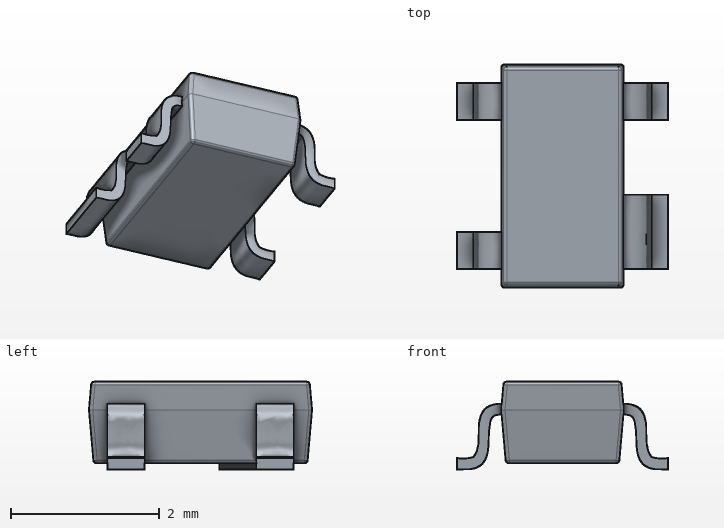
import cadquery as cq
import math

body_width = 1.65
body_length = 3.0
body_bottom = 0.08
parting_height = 0.80
body_top = 1.18
draft_angle = 5.0
edge_round = 0.05

lead_span = 2.84
lead_thickness = 0.15
lead_top = 0.882
inner_bend_radius = 0.10
leg_tilt = math.radians(5.0)
upper_bend_x = 0.868
lead_root_x = 0.78
crease_angle = math.radians(35.0)
foot_dish_depth = 0.003
toe_swell = 0.004
lead_outer_y = 1.25
narrow_width = 0.5
wide_width = 1.0


def tapered_half(height):
    """Half of the body, tapering from the parting plane over a signed height."""
    return (
        cq.Workplane("XY")
        .workplane(offset=parting_height)
        .rect(body_width, body_length)
        .extrude(height, taper=draft_angle)
    )


def make_body():
    """Drafted body with rounded corners and rims; the parting line stays sharp."""
    upper = tapered_half(body_top - parting_height)
    lower = tapered_half(body_bottom - parting_height)
    corners_and_rims = "not(#Z and (not (>Z or <Z)))"
    return upper.union(lower).edges(corners_and_rims).fillet(edge_round)


def bend_point(axis, radius, angle):
    """Point (x, z) at a radius and angle around a bend axis."""
    return (axis[0] + radius * math.cos(angle), axis[1] + radius * math.sin(angle))


def make_lead_profile():
    """S-shaped side outline of a lead on the +X wall; one smooth curve blends both bends on each face."""
    outer_bend_radius = inner_bend_radius + lead_thickness
    upper_z = lead_top - outer_bend_radius
    lower_z = outer_bend_radius
    axis_spacing = (
        inner_bend_radius + outer_bend_radius + (upper_z - lower_z) * math.sin(leg_tilt)
    ) / math.cos(leg_tilt)
    upper_axis = (upper_bend_x, upper_z)
    lower_axis = (upper_bend_x + axis_spacing, lower_z)

    upper_start = math.pi / 2
    upper_end = leg_tilt
    upper_middle = (upper_start + upper_end) / 2
    upper_angles = [upper_start, upper_middle, upper_end]
    lower_start = math.pi + leg_tilt
    lower_end = 3 * math.pi / 2
    lower_middle = (lower_start + lower_end) / 2
    lower_angles = [lower_end, lower_middle, lower_start]

    root_top = (lead_root_x, lead_top)
    root_bottom = (lead_root_x, lead_top - lead_thickness)
    toe_x = lead_span / 2
    toe_top = (toe_x, lead_thickness + toe_swell)
    toe_bottom = (toe_x, -toe_swell)

    crease = bend_point(lower_axis, inner_bend_radius, lower_end - crease_angle)
    foot_middle_x = (crease[0] + toe_x) / 2
    foot_dish = (foot_middle_x, lead_thickness - foot_dish_depth)

    top_curve = [bend_point(upper_axis, outer_bend_radius, angle) for angle in upper_angles]
    top_curve += [bend_point(lower_axis, inner_bend_radius, lower_start), crease]
    bottom_curve = [(foot_middle_x, 0)]
    bottom_curve += [bend_point(lower_axis, outer_bend_radius, angle) for angle in lower_angles]
    bottom_curve += [bend_point(upper_axis, inner_bend_radius, angle) for angle in reversed(upper_angles)]

    return (
        cq.Workplane("XZ")
        .moveTo(*root_top)
        .spline(top_curve, includeCurrent=True)
        .threePointArc(foot_dish, toe_top)
        .lineTo(*toe_bottom)
        .spline(bottom_curve + [root_bottom], includeCurrent=True)
        .close()
    )


def make_lead(side, y_start, width):
    """Lead on the +X (side = 1) or -X (side = -1) wall, spanning its width along +Y from y_start."""
    lead = make_lead_profile().extrude(-width)
    if side < 0:
        lead = lead.mirror("YZ")
    return lead.translate((0, y_start, 0))


body = make_body()

lead_places = [
    (-1, -lead_outer_y, narrow_width),
    (-1, lead_outer_y - narrow_width, narrow_width),
    (1, -lead_outer_y, wide_width),
    (1, lead_outer_y - narrow_width, narrow_width),
]
leads = [make_lead(*place).cut(body) for place in lead_places]

result = cq.Compound.makeCompound([body.val(), *[lead.val() for lead in leads]])